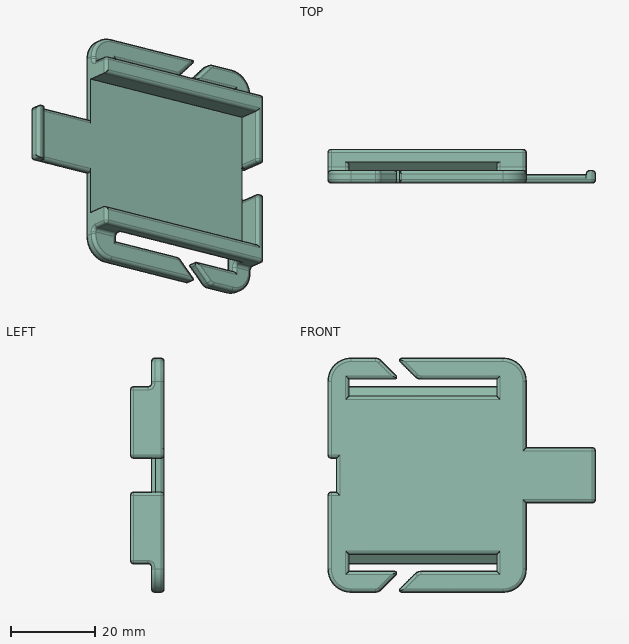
import cadquery as cq
import math


plate_length = 47.0
plate_height = 55.5
plate_thickness = 3.0
corner_radius = 5.5
body_height = 42.0
body_depth = 8.0
edge_radius = 0.8

wall = 2.0
floor = 2.0
notch_width = 8.0

slot_inset = 5.0
slot_width = 4.0
slot_start = 5.0
slot_end = 40.0
ramp_top = 5.0
gap_start = 12.0
gap_width = 4.25
gap_corner_radius = 1.9
tip_radius = 0.5
tip_angle = math.radians(45)

tab_length = 16.4
tab_width = 13.1
tab_thickness = 2.0
bump_length = 2.2
bump_height = 3.0
bump_radius = 0.9

half_plate = plate_height / 2
half_body = body_height / 2
half_notch = notch_width / 2
half_tab = tab_width / 2
slot_outer = half_plate - slot_inset
slot_inner = slot_outer - slot_width
half_tray = slot_inner - wall
blend_end = half_body + edge_radius
tab_end = plate_length + tab_length
bump_start = tab_end - bump_length

all_x = (0, tab_end)
all_y = (0, body_depth)
all_z = (-half_plate, half_plate)
tolerance = 0.01


def block(x_range, y_range, z_range):
    """Box spanning the given (low, high) ranges."""
    spans = [high - low for low, high in (x_range, y_range, z_range)]
    corner = (x_range[0], y_range[0], z_range[0])
    return cq.Workplane("XY").box(*spans, centered=False).translate(corner)


def edges_within(body, x_range, y_range, z_range):
    """Edges of the body lying completely inside the given ranges."""

    def inside(edge):
        box = edge.BoundingBox()
        spans = [
            (box.xmin, box.xmax, x_range),
            (box.ymin, box.ymax, y_range),
            (box.zmin, box.zmax, z_range),
        ]
        return all(
            low >= limits[0] - tolerance and high <= limits[1] + tolerance
            for low, high, limits in spans
        )

    return [edge for edge in body.edges().vals() if inside(edge)]


def fillet(body, edges, radius):
    return body.newObject(edges).fillet(radius)


def make_plate_and_body():
    """Rounded plate carrying the raised body, blended along the body's long sides."""
    plate = block((0, plate_length), (0, plate_thickness), all_z).edges("|Y").fillet(corner_radius)
    body = plate.union(block((0, plate_length), (0, body_depth), (-half_body, half_body)))
    roots = []
    for z in (-half_body, half_body):
        roots += edges_within(body, all_x, (plate_thickness, plate_thickness), (z, z))
    return fillet(body, roots, edge_radius)


def cut_tray(body):
    """Hollow the body from the back and notch the end wall opposite the tab."""
    tray = block((wall, plate_length), (floor, body_depth), (-half_tray, half_tray))
    notch = block((0, wall), all_y, (-half_notch, half_notch))
    return body.cut(tray).cut(notch)


def strap_slot_cutter():
    """Slot through the plate, its inner wall slanting out to the body side, plus the entry gap."""
    slot_profile = [
        (0, slot_outer),
        (0, slot_inner),
        (plate_thickness, slot_inner),
        (ramp_top, half_body),
        (ramp_top, slot_outer),
    ]
    slot = cq.Workplane("YZ").polyline(slot_profile).close().extrude(slot_end - slot_start)
    gap_outline = [
        (gap_start, half_plate),
        (gap_start + gap_width, half_plate),
        (gap_start + gap_width + slot_inset, slot_outer),
        (gap_start + slot_inset, slot_outer),
    ]
    gap = cq.Workplane("XZ").polyline(gap_outline).close().extrude(-plate_thickness)
    return slot.translate((slot_start, 0, 0)).union(gap)


def cut_strap_slots(body):
    """Cut both slots and round the obtuse corners of their entry gaps."""
    cutter = strap_slot_cutter()
    body = body.cut(cutter).cut(cutter.mirror("XY"))
    corners = []
    for side in (-1, 1):
        for x, z in ((gap_start, half_plate), (gap_start + gap_width + slot_inset, slot_outer)):
            corners += edges_within(body, (x, x), all_y, (side * z, side * z))
    return fillet(body, corners, gap_corner_radius)


def add_tab(body):
    """Thin tab flush with the front face, with rounded outer corners."""
    tab = block((plate_length, tab_end), (0, tab_thickness), (-half_tab, half_tab))
    return body.union(tab.edges("|Y and >X").fillet(edge_radius))


def add_bump(body):
    """Round-topped bump across the tab's end, sharing the tab's rounded outer corners."""
    bump = block((bump_start, tab_end), (edge_radius, bump_height), (-half_tab, half_tab))
    round_topped = bump.faces(">Y").edges("|Z").fillet(bump_radius)
    round_cornered = bump.edges("|Y and >X").fillet(edge_radius)
    return body.union(round_topped.intersect(round_cornered))


def arm_back_edges(body):
    """Back edges of the plate beyond the body, continuing up the body corners and slot ends."""
    edges = []
    for side in (-1, 1):
        arm_z = sorted((side * half_body, side * half_plate))
        blend_z = sorted((side * half_body, side * blend_end))
        for edge in edges_within(body, all_x, (plate_thickness, plate_thickness), arm_z):
            box = edge.BoundingBox()
            on_blend_border = box.zlen < tolerance and abs(abs(box.zmin) - blend_end) < tolerance
            if not on_blend_border:
                edges.append(edge)
        for x in (0, slot_start, slot_end, plate_length):
            rising = edges_within(body, (x, x), (plate_thickness, body_depth), blend_z)
            edges += [edge for edge in rising if edge.BoundingBox().ylen > tolerance]
    return edges


def round_outer_edges(body):
    """Round the front outline, the back rim, the arms, the notch sides and the tab."""
    edges = arm_back_edges(body)
    edges += edges_within(body, all_x, (0, 0), all_z)
    edges += edges_within(body, all_x, (body_depth, body_depth), all_z)
    for z in (-half_notch, half_notch):
        edges += edges_within(body, (0, 0), all_y, (z, z))
        edges += edges_within(body, (wall, wall), (floor, body_depth), (z, z))
    for z in (-half_tab, half_tab):
        edges += edges_within(body, all_x, (tab_thickness, tab_thickness), (z, z))
    return fillet(body, edges, edge_radius)


def tip_cutter(x, z, direction):
    """Sliver that rounds a sharp gap tip; direction points along X from the tip into the arm."""
    tangent = tip_radius / math.tan(tip_angle / 2)
    arc_depth = tip_radius / math.sin(tip_angle / 2) - tip_radius

    def point(distance, angle):
        return (x + direction * distance * math.cos(angle), z - direction * distance * math.sin(angle))

    sliver = cq.Workplane("XZ").moveTo(x, z).lineTo(*point(tangent, 0))
    sliver = sliver.threePointArc(point(arc_depth, tip_angle / 2), point(tangent, tip_angle))
    return sliver.close().extrude(-plate_thickness)


def round_gap_tips(body):
    near_tip = tip_cutter(gap_start + slot_inset, slot_outer, -1)
    far_tip = tip_cutter(gap_start + gap_width, half_plate, 1)
    for cutter in (near_tip, far_tip):
        body = body.cut(cutter).cut(cutter.mirror("XY"))
    return body


result = make_plate_and_body()
result = cut_tray(result)
result = cut_strap_slots(result)
result = add_tab(result)
result = round_outer_edges(result)
result = add_bump(result)
result = round_gap_tips(result)